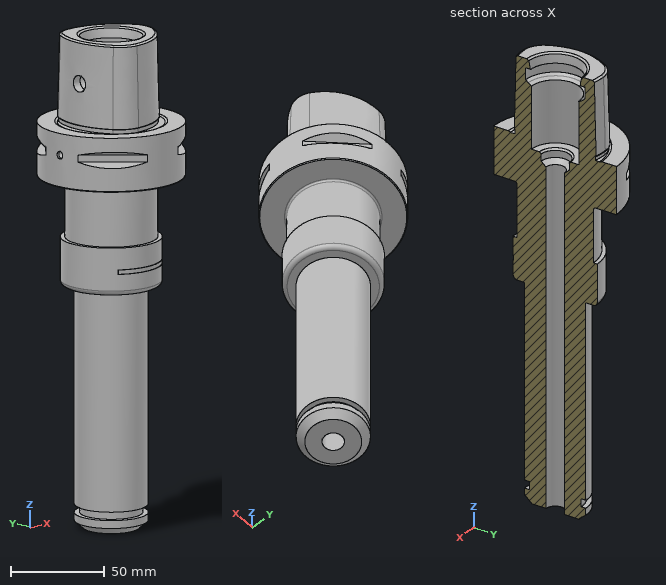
import cadquery as cq
import math

total_height = 272.0
taper_length = 48.0
flange_height = 30.0
flange_top = total_height - taper_length
flange_bottom = flange_top - flange_height
collar_top = 160.5
collar_bottom = 134.0
clip_groove_top = 13.0
clip_groove_bottom = 8.5
tip_chamfer_height = 4.0

flange_diameter = 80.0
neck_diameter = 50.0
collar_diameter = 55.0
shank_diameter = 40.0
clip_groove_diameter = 34.0
tip_diameter = 30.5
flange_edge_chamfer = 0.5
neck_fillet = 1.0
collar_fillet = 2.7

lobe_reach = 29.5
side_reach = 25.5
side_radius = 39.5
taper_slope = 1 / 40
lobe_top_inset = 1.4
lobe_top_chamfer_height = 0.8
undercut_height = 2.0
undercut_depth = 0.5

recess_top_diameter = 60.7
recess_floor_diameter = 58.0
recess_depth = 0.5

bore_mouth_diameter = 36.7
bore_mouth_chamfer = 0.8
bore_top_diameter = 34.0
bore_lip_diameter = 32.0
bore_depth = 6.0
inner_groove_diameter = 38.0
inner_groove_bottom = 13.0
seat_diameter = 34.8
seat_depth = 14.5
pilot_diameter = 30.5
pilot_top = 15.8
pilot_depth = 54.5
through_diameter = 12.0
lower_mouth_diameter = 20.0
lower_mouth_chamfer = 1.0
lower_bore_diameter = 18.0
lower_bore_depth = 59.8
lower_cone_height = 2.7

notch_count = 4
first_notch_angle = 45.0
notch_z = flange_top - 12.2
notch_floor_reach = 35.4
notch_floor_height = 3.8
notch_rim_height = 9.0

side_hole_diameter = 9.0
side_hole_depth = 5.5
side_hole_z = total_height - 23.0
rim_hole_diameter = 4.0
rim_hole_depth = 1.4
rim_hole_z = flange_top - 12.0
drill_point_angle = 118.0
label_width = 34.0
label_height = 2.5
label_z = 147.2
label_depth = 0.3

cut_clearance = 2.7


def polar(radius, degrees):
    angle = math.radians(degrees)
    return radius * math.cos(angle), radius * math.sin(angle)


def revolve_profile(points):
    """Solid of revolution about Z from (radius, z) points."""
    return cq.Workplane("XZ").polyline(points).close().revolve(360, (0, 0), (0, 1))


def ring_selector(z, diameter):
    """Picks the circular edge about Z with the given height and diameter."""
    margin = 0.03
    reach = diameter / 2 + margin
    inner = diameter / 2 - margin
    outer_box = cq.selectors.BoxSelector((-reach, -reach, z - margin), (reach, reach, z + margin), True)
    inner_box = cq.selectors.BoxSelector((-inner, -inner, z - margin), (inner, inner, z + margin), True)
    return outer_box - inner_box


def lobed_outline(z, inset):
    """Closed outline of six tangent arcs, lobes at 0, 120 and 240 degrees."""
    lobe = lobe_reach - inset
    side = side_reach - inset
    big = side_radius - inset
    small = (big * (2 * side - lobe) - side**2 + side * lobe - lobe**2) / (big + side - 2 * lobe)
    side_center = polar(big - side, 240)
    lobe_center = lobe - small
    direction = math.atan2(-side_center[1], lobe_center - side_center[0])
    joint_x = lobe_center + small * math.cos(direction)
    joint_y = small * math.sin(direction)
    joint_radius = math.hypot(joint_x, joint_y)
    joint_angle = math.degrees(math.atan2(joint_y, joint_x))

    outline = cq.Workplane("XY", origin=(0, 0, z)).moveTo(*polar(joint_radius, -joint_angle))
    for lobe_angle in (0, 120, 240):
        outline = outline.threePointArc(
            polar(lobe, lobe_angle), polar(joint_radius, lobe_angle + joint_angle)
        )
        outline = outline.threePointArc(
            polar(side, lobe_angle + 60), polar(joint_radius, lobe_angle + 120 - joint_angle)
        )
    return outline.close()


def lobed_frustum(bottom_z, bottom_inset, top_z, top_inset):
    bottom = lobed_outline(bottom_z, bottom_inset).val()
    top = lobed_outline(top_z, top_inset).val()
    return cq.Workplane(cq.Solid.makeLoft([bottom, top], True))


def turned_body():
    profile = [
        (0, 0),
        (tip_diameter / 2, 0),
        (shank_diameter / 2, tip_chamfer_height),
        (shank_diameter / 2, clip_groove_bottom),
        (clip_groove_diameter / 2, clip_groove_bottom),
        (clip_groove_diameter / 2, clip_groove_top),
        (shank_diameter / 2, clip_groove_top),
        (shank_diameter / 2, collar_bottom),
        (collar_diameter / 2, collar_bottom),
        (collar_diameter / 2, collar_top),
        (neck_diameter / 2, collar_top),
        (neck_diameter / 2, flange_bottom),
        (flange_diameter / 2 - flange_edge_chamfer, flange_bottom),
        (flange_diameter / 2, flange_bottom + flange_edge_chamfer),
        (flange_diameter / 2, flange_top),
        (recess_top_diameter / 2, flange_top),
        (recess_floor_diameter / 2, flange_top - recess_depth),
        (0, flange_top - recess_depth),
    ]
    body = revolve_profile(profile)
    body = body.edges(ring_selector(flange_bottom, neck_diameter)).fillet(neck_fillet)
    return body.edges(ring_selector(collar_bottom, collar_diameter)).fillet(collar_fillet)


def lobed_shank():
    taper_bottom = flange_top + undercut_height
    chamfer_bottom = total_height - lobe_top_chamfer_height
    low_inset = undercut_height * taper_slope
    high_inset = (chamfer_bottom - flange_top) * taper_slope
    root_inset = low_inset + undercut_depth
    root = lobed_frustum(flange_top - recess_depth, root_inset, taper_bottom, root_inset)
    taper = lobed_frustum(taper_bottom, low_inset, chamfer_bottom, high_inset)
    cap = lobed_frustum(chamfer_bottom, high_inset, total_height, high_inset + lobe_top_inset)
    return root.union(taper).union(cap)


def stepped_bore():
    steps = [
        (bore_mouth_diameter, 0),
        (bore_top_diameter, bore_mouth_chamfer),
        (bore_lip_diameter, bore_depth),
        (inner_groove_diameter, bore_depth),
        (inner_groove_diameter, inner_groove_bottom),
        (seat_diameter, seat_depth),
        (pilot_diameter, pilot_top),
        (pilot_diameter, pilot_depth),
        (lower_mouth_diameter, pilot_depth),
        (lower_bore_diameter, pilot_depth + lower_mouth_chamfer),
        (lower_bore_diameter, lower_bore_depth),
        (through_diameter, lower_bore_depth + lower_cone_height),
        (through_diameter, total_height),
    ]
    wall = [(diameter / 2, total_height - depth) for diameter, depth in steps]
    return revolve_profile([(0, total_height)] + wall + [(0, 0)])


def gripper_notch(angle):
    """Trapezoidal groove cut straight across the rim, square to the given direction."""
    slope = (notch_rim_height - notch_floor_height) / 2 / (flange_diameter / 2 - notch_floor_reach)
    outer_reach = flange_diameter / 2 + cut_clearance
    outer_half = notch_floor_height / 2 + slope * (outer_reach - notch_floor_reach)
    section = [
        (notch_floor_reach, notch_z - notch_floor_height / 2),
        (outer_reach, notch_z - outer_half),
        (outer_reach, notch_z + outer_half),
        (notch_floor_reach, notch_z + notch_floor_height / 2),
    ]
    groove = cq.Workplane("XZ").polyline(section).close().extrude(flange_diameter / 2, both=True)
    return groove.rotate((0, 0, 0), (0, 0, 1), angle)


def drilled_hole(diameter, depth, surface_x, z):
    """Blind hole with a conical end, drilled in the +X direction from a -X surface."""
    radius = diameter / 2
    point_length = radius / math.tan(math.radians(drill_point_angle / 2))
    start_x = surface_x - cut_clearance
    end_x = surface_x + depth
    profile = [(start_x, z), (start_x, z + radius), (end_x, z + radius), (end_x + point_length, z)]
    return cq.Workplane("XZ").polyline(profile).close().revolve(360, (0, z), (1, z))


def label_recess():
    """Shallow band on the -Y side of the collar, following its curve."""
    outer = cq.Workplane("XY").circle(collar_diameter / 2 + cut_clearance)
    ring = outer.circle(collar_diameter / 2 - label_depth).extrude(label_height)
    ring = ring.translate((0, 0, label_z - label_height / 2))
    window = cq.Workplane("XY").box(label_width, collar_diameter, 2 * label_height)
    return ring.intersect(window.translate((0, -collar_diameter / 2, label_z)))


result = turned_body().union(lobed_shank()).cut(stepped_bore())
for index in range(notch_count):
    result = result.cut(gripper_notch(first_notch_angle + index * 360 / notch_count))
side_x = -side_reach + (side_hole_z - flange_top) * taper_slope
result = result.cut(drilled_hole(side_hole_diameter, side_hole_depth, side_x, side_hole_z))
result = result.cut(drilled_hole(rim_hole_diameter, rim_hole_depth, -flange_diameter / 2, rim_hole_z))
result = result.cut(label_recess())